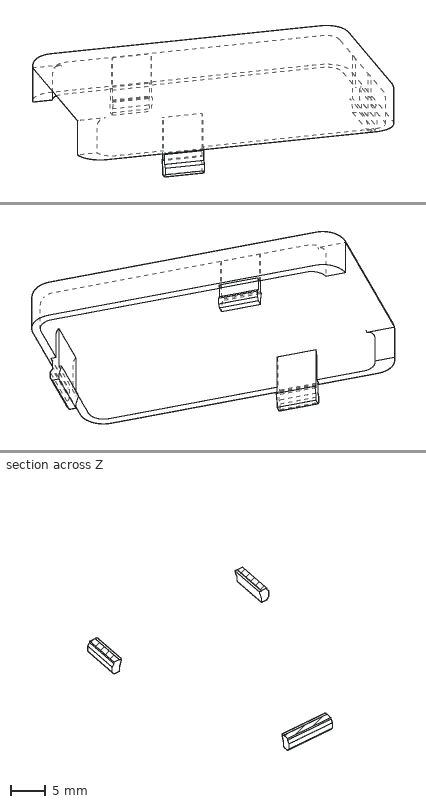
import cadquery as cq

width = 29.4
length = 48.4
total_height = 10.3
clip_drop = 3.9
cover_height = total_height - clip_drop
corner_radius = 3.65
wall = 1.25
top_fillet = 1.0
roof = 1.0
cavity_fillet = 1.25

opening_width = 23.0
opening_height = cover_height - roof
front_wall = 3.0

clip_outer = 0.7
clip_inner = 1.7
clip_root_outer = 0.45
barb_tip = 2.1
bulge_outer = 0.35
root_taper_end = 0.4
barb_top = 1.7
barb_lip = 0.15
barb_bottom = 3.1
bulge_start = 1.95
bulge_full = 2.4
bulge_end = 3.45
side_clip_width = 6.0
side_clip_y = -8.55
back_clip_width = 8.0


def rounded_block(size_x, size_y, height, radius, edge_fillet):
    """Block on Z = 0 with rounded vertical corners and a rounded top edge."""
    block = cq.Workplane("XY").rect(size_x, size_y).extrude(height)
    return block.edges("|Z").fillet(radius).faces(">Z").edges().fillet(edge_fillet)


def make_cover():
    outer = rounded_block(width, length, cover_height, corner_radius, top_fillet)
    cavity = rounded_block(
        width - 2 * wall,
        length - wall - front_wall,
        cover_height - roof,
        corner_radius - wall,
        cavity_fillet,
    ).translate((0, (front_wall - wall) / 2, 0))
    opening = (
        cq.Workplane("XY")
        .box(opening_width, front_wall + cavity_fillet, opening_height, centered=(True, False, False))
        .translate((0, -length / 2, 0))
    )
    return outer.cut(cavity).cut(opening)


def make_clip(clip_width):
    """Clip centred on Y = 0 for a wall whose outer face is X = 0, inside towards +X."""
    profile = [
        (clip_root_outer, cover_height - roof),
        (clip_inner, cover_height - roof),
        (clip_inner, -barb_top),
        (barb_tip, -barb_top),
        (barb_tip, -barb_top - barb_lip),
        (clip_inner, -barb_bottom),
        (clip_inner, -clip_drop),
        (clip_outer, -clip_drop),
        (bulge_outer, -bulge_end),
        (bulge_outer, -bulge_full),
        (clip_outer, -bulge_start),
        (clip_outer, -root_taper_end),
        (clip_root_outer, 0),
    ]
    return cq.Workplane("XZ").polyline(profile).close().extrude(clip_width / 2, both=True)


left_clip = make_clip(side_clip_width).translate((-width / 2, side_clip_y, 0))
right_clip = left_clip.mirror("YZ")
back_clip = (
    make_clip(back_clip_width)
    .rotate((0, 0, 0), (0, 0, 1), -90)
    .translate((0, length / 2, 0))
)

result = make_cover().union(left_clip).union(right_clip).union(back_clip)